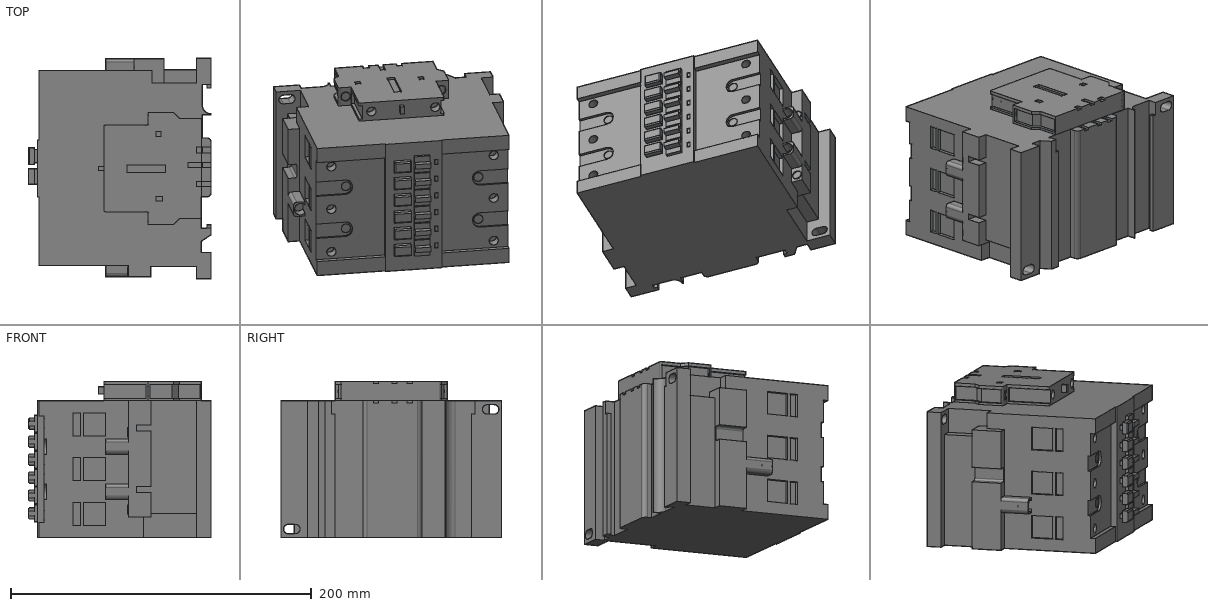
import cadquery as cq
import math


height = 91.0
mid_z = height / 2
left_wall_y = 65.2
right_wall_y = -64.6
core_half_width = 57.0
rail_x = 114.5
flange_x = 104.7
flange_half_width = 73.4

panel_half_width = 19.1
panel_x = -1.0
recess_floor_x = 3.4
ledge_height = 10.1
terminal_pitch = 30.5
terminal_y = 54.9
terminal_radius = 3.1
hole_depth = 7.3
post_pitch = 30.1
post_width = 10.3
post_levels = [mid_z - post_pitch / 2, mid_z + post_pitch / 2]
groove_depth = 1.6
groove_end_y = 45.8
groove_seat_y = 44.8
groove_seat_depth = 0.3

window_pitch = 29.8
window_height = 15.3
window_depth = 2.6
window_spans = [(22.6, 27.7), (29.7, 44.3)]

right_wall_end_x = 69.6
left_wall_end_x = 75.2
right_skirt_y = -65.3
left_skirt_y = 65.8
skirt_clearance = 16.1
right_bracket_span = (59.5, 74.5)
right_bracket_y = -72.1
right_bracket_bottom = 13.8
left_bracket_span = (63.3, 83.2)
left_bracket_y = 73.0
left_bracket_top = 80.5
bracket_notch_x = 64.7
bracket_notch_height = 3.8
bracket_notch_levels = [32.0, 73.0]
bracket_pocket_y = 67.1
bracket_pocket_span = (45.4, 55.2)
bracket_pocket_radius = 1.5
post_front_x = 44.3
post_hole_radius = 4.1
post_hole_inset = 4.8
post_corner_radius = 2.2
screw_radius = 3.1
screw_y = -68.5
screw_height = 0.6
screw_levels = [18.6, 70.0]

mount_slot_length = 10.9
mount_slot_width = 6.2
mount_slot_y = 66.0
mount_slot_edge_z = 5.7
left_back_x = 108.6
right_back_x = 108.0
flange_inner_y = 55.8
hook_top_y = 42.3
hook_arc_end_y = 36.4
hook_bottom_y = 35.7
wedge_inner_y = -39.6
wedge_tip_y = -44.0
wedge_root_y = -48.5
lip_x = 111.7
lip_reach = 2.3
lip_drop = 8.8
tab_span = (-19.0, 20.4)
tab_corner_radius = 3.0

row_count = 6
row_pitch = 11.95
button_front_x = -7.0
button_back_x = -3.1
button_span = (2.6, 14.0)
button_height = 7.6
button_chamfer = 0.9
neck_span = (3.7, 12.8)
neck_height = 3.2
strip_span = (-10.5, -0.1)
strip_segment_height = 11.3
strip_rib_height = 3.2
indicator_span = (-16.3, -14.2)
indicator_height = 3.5
indicator_depth = 0.6

block_height = 12.9
block_top = height + block_height
block_front_x = 43.2
block_step_x = 72.5
block_taper_x = (89.4, 93.5)
block_front_half_width = 28.8
block_wide_half_width = 37.3
block_back_half_width = 33.3
block_corner_radius = 1.0
panel_recess_depth = 2.2
panel_recess_bottom = 92.5
panel_recess_height = 9.2
front_recess_end_x = 71.3
rear_recess_span = (74.0, 107.2)
block_hole_radius = 3.1
block_hole_z = 97.3
block_hole_ys = [20.4, -22.8]
step_hole_y = 32.3
step_hole_depth = 0.9
plunger_x = 39.5
plunger_width = 2.6
plunger_span = (95.4, 100.4)
marking_depth = 1.5
marking_slots = [
    ((58.5, 84.3), (-2.8, 2.2)),
    ((77.8, 81.2), (21.1, 24.7)),
    ((77.8, 82.2), (-21.7, -18.5)),
]
rear_notches = [(104.7, (10.4, 14.2)), (99.2, (0.6, 3.8)), (104.7, (-11.9, -8.5))]


def box(x_span, y_span, z_span):
    """Box between two limits on each axis."""
    size = [max(s) - min(s) for s in (x_span, y_span, z_span)]
    corner = (min(x_span), min(y_span), min(z_span))
    return cq.Workplane("XY").box(*size, centered=False).translate(corner)


def rod(x_span, y, z, radius):
    """Cylinder along X."""
    length = x_span[1] - x_span[0]
    return cq.Workplane("YZ", origin=(x_span[0], y, z)).circle(radius).extrude(length)


def centred(middle, length):
    """Limits of a length centred on a coordinate."""
    return (middle - length / 2, middle + length / 2)


def base_body():
    """Full-height core with the mounting flanges and the rail hooks at its back."""
    arc_angle = math.radians(45)
    arc_x = rail_x - (rail_x - left_back_x) * math.cos(arc_angle)
    arc_y = hook_top_y - (hook_top_y - hook_arc_end_y) * math.sin(arc_angle)
    return (
        cq.Workplane("XY")
        .moveTo(0, core_half_width)
        .lineTo(flange_x, core_half_width)
        .lineTo(flange_x, flange_half_width)
        .lineTo(rail_x, flange_half_width)
        .lineTo(rail_x, flange_inner_y)
        .lineTo(left_back_x, flange_inner_y)
        .lineTo(left_back_x, hook_top_y)
        .threePointArc((arc_x, arc_y), (rail_x, hook_arc_end_y))
        .lineTo(rail_x, hook_bottom_y)
        .lineTo(left_back_x, hook_bottom_y)
        .lineTo(left_back_x, 0)
        .lineTo(right_back_x, 0)
        .lineTo(right_back_x, wedge_inner_y)
        .lineTo(rail_x, wedge_inner_y)
        .lineTo(rail_x, wedge_tip_y)
        .lineTo(right_back_x, wedge_root_y)
        .lineTo(right_back_x, -flange_inner_y)
        .lineTo(rail_x, -flange_inner_y)
        .lineTo(rail_x, -flange_half_width)
        .lineTo(flange_x, -flange_half_width)
        .lineTo(flange_x, -core_half_width)
        .lineTo(0, -core_half_width)
        .close()
        .extrude(height)
    )


def rail_details():
    """Rounded tab between the hooks, and a lip on the inner side of each rail seat."""
    tab = box((flange_x, rail_x), tab_span, (0, height))
    tab = tab.edges("|Z and >X").fillet(tab_corner_radius)
    for start_x, y_span in rear_notches:
        tab = tab.cut(box((right_back_x, rail_x), y_span, (height - marking_depth, height)))
    lip_z = (0, height - lip_drop)
    left_lip = box((lip_x, rail_x), (flange_inner_y - lip_reach, flange_inner_y), lip_z)
    right_lip = box((lip_x, rail_x), (wedge_inner_y, wedge_inner_y + lip_reach), lip_z)
    return tab.union(left_lip).union(right_lip)


def side_walls():
    """Side walls at the terminals and the lower-profile skirts behind them."""
    walls = box((0, right_wall_end_x), (right_wall_y, 0), (0, height))
    walls = walls.union(box((0, left_wall_end_x), (0, left_wall_y), (0, height)))
    right_skirt = box((right_wall_end_x, flange_x), (right_skirt_y, 0), (skirt_clearance, height))
    left_skirt = box((left_wall_end_x, flange_x), (0, left_skirt_y), (0, height - skirt_clearance))
    return walls.union(right_skirt).union(left_skirt)


def right_bracket():
    """Bracket with two notches down to the skirt and two screw heads on its front."""
    front_x, back_x = right_bracket_span
    bracket = box(right_bracket_span, (right_bracket_y, 0), (right_bracket_bottom, height))
    notch_y = (right_bracket_y, right_skirt_y)
    for z in bracket_notch_levels:
        bracket = bracket.cut(box((bracket_notch_x, back_x), notch_y, centred(z, bracket_notch_height)))
    for z in screw_levels:
        bracket = bracket.union(rod((front_x - screw_height, front_x), screw_y, z, screw_radius))
    return bracket


def left_bracket():
    """Bracket with one round-cornered notch through its outer edge."""
    bracket = box(left_bracket_span, (0, left_bracket_y), (0, left_bracket_top))
    pocket = box(left_bracket_span, (bracket_pocket_y, left_bracket_y), bracket_pocket_span)
    return bracket.cut(pocket.edges("|X and <Y").fillet(bracket_pocket_radius))


def post(back_x, inner_y, outer_y, z, outer_side):
    """Hollow post lying along a side wall, rounded along its two outer edges."""
    body = box((post_front_x, back_x), (inner_y, outer_y), centred(z, post_width))
    body = body.edges("|X and " + outer_side).fillet(post_corner_radius)
    inset = math.copysign(post_hole_inset, outer_y)
    return body.cut(rod((post_front_x, post_front_x + hole_depth), outer_y - inset, z, post_hole_radius))


def terminal_cuts(side, wall_y):
    """Cuts on one side (+1 or -1): front recess, terminal holes, grooves with round seats, and wall windows."""
    outer_y = side * flange_half_width
    cuts = box(
        (0, recess_floor_x), (side * panel_half_width, outer_y), (ledge_height, height - ledge_height)
    )
    for row in (-1, 0, 1):
        hole_z = mid_z + row * terminal_pitch
        hole_x = (recess_floor_x, recess_floor_x + hole_depth)
        cuts = cuts.union(rod(hole_x, side * terminal_y, hole_z, terminal_radius))
        window_z = centred(mid_z + row * window_pitch, window_height)
        for window_x in window_spans:
            cuts = cuts.union(box(window_x, (wall_y, wall_y - side * window_depth), window_z))
    groove_x = (recess_floor_x, recess_floor_x + groove_depth)
    for z in post_levels:
        groove = box(groove_x, (side * groove_end_y, outer_y), centred(z, post_width))
        groove = groove.union(rod(groove_x, side * groove_end_y, z, post_width / 2))
        seat_x = (groove_x[1], groove_x[1] + groove_seat_depth)
        seat = rod(seat_x, side * groove_seat_y, z, terminal_radius)
        cuts = cuts.union(groove).union(seat)
    return cuts


def mount_slot(y, z):
    """Slot through a mounting flange, long in Y."""
    return (
        cq.Workplane("YZ", origin=(flange_x, y, z))
        .slot2D(mount_slot_length, mount_slot_width)
        .extrude(rail_x - flange_x)
    )


def front_panel():
    """Raised middle panel with a column of buttons, a ribbed strip and indicator windows."""
    panel = box((panel_x, recess_floor_x), (-panel_half_width, panel_half_width), (0, height))
    first_row_z = mid_z + 0.5 + row_pitch * (row_count - 1) / 2
    for row in range(row_count):
        z = first_row_z - row * row_pitch
        button = box((button_front_x, button_back_x), button_span, centred(z, button_height))
        bevelled = button.faces("<X").edges() if row == 0 else button.faces("<X").edges("|Y")
        panel = panel.union(bevelled.chamfer(button_chamfer))
        panel = panel.union(box((button_back_x, panel_x), neck_span, centred(z, neck_height)))
        panel = panel.union(box((button_back_x, panel_x), strip_span, centred(z, strip_segment_height)))
        panel = panel.union(box((button_front_x, button_back_x), strip_span, centred(z, strip_rib_height)))
        window_x = (panel_x, panel_x + indicator_depth)
        panel = panel.cut(box(window_x, indicator_span, centred(z, indicator_height)))
    return panel


def make_housing():
    body = base_body().union(side_walls()).union(rail_details())
    body = body.union(right_bracket()).union(left_bracket())
    body = body.cut(terminal_cuts(1, left_wall_y)).cut(terminal_cuts(-1, right_wall_y))
    body = body.cut(mount_slot(mount_slot_y, height - mount_slot_edge_z))
    body = body.cut(mount_slot(-mount_slot_y, mount_slot_edge_z))
    for z in post_levels:
        body = body.union(post(right_bracket_span[0], right_wall_y, right_bracket_y, z, "<Y"))
    body = body.union(post(left_bracket_span[0], left_wall_y, left_bracket_y, post_levels[0], ">Y"))
    return body.union(front_panel())


def block_body():
    """Block that widens at a step and tapers in again towards the back."""
    taper_start_x, taper_end_x = block_taper_x
    half = [
        (block_front_x, block_front_half_width),
        (block_step_x, block_front_half_width),
        (block_step_x, block_wide_half_width),
        (taper_start_x, block_wide_half_width),
        (taper_end_x, block_back_half_width),
        (right_back_x, block_back_half_width),
    ]
    other_half = [(x, -y) for x, y in reversed(half)]
    body = cq.Workplane("XY", origin=(0, 0, height)).polyline(half + other_half).close()
    body = body.extrude(block_height)
    rounded_corners = [half[0], half[2], half[5], other_half[5]]
    for x, y in rounded_corners:
        corner = cq.selectors.NearestToPointSelector((x, y, height + block_height / 2))
        body = body.edges(corner).fillet(block_corner_radius)
    return body


def side_recesses():
    """Shallow panels in the left side: one ahead of the step, one that follows the taper."""
    z_span = (panel_recess_bottom, panel_recess_bottom + panel_recess_height)
    front_y = (block_front_half_width - panel_recess_depth, block_front_half_width)
    front = box((block_front_x, front_recess_end_x), front_y, z_span)
    start_x, end_x = rear_recess_span
    taper_shift = 0.9
    rear = (
        cq.Workplane("XY", origin=(0, 0, panel_recess_bottom))
        .moveTo(start_x, block_wide_half_width)
        .lineTo(start_x, block_wide_half_width - panel_recess_depth)
        .lineTo(block_taper_x[0] - taper_shift, block_wide_half_width - panel_recess_depth)
        .lineTo(block_taper_x[1] - taper_shift, block_back_half_width - panel_recess_depth)
        .lineTo(end_x, block_back_half_width - panel_recess_depth)
        .lineTo(end_x, block_wide_half_width)
        .close()
        .extrude(panel_recess_height)
    )
    return front.union(rear)


def make_auxiliary_block():
    body = block_body()
    recesses = side_recesses()
    body = body.cut(recesses).cut(recesses.mirror("XZ"))
    for y in block_hole_ys:
        body = body.cut(rod((block_front_x, block_front_x + hole_depth), y, block_hole_z, block_hole_radius))
    for y in (step_hole_y, -step_hole_y):
        hole_x = (block_step_x, block_step_x + step_hole_depth)
        body = body.cut(rod(hole_x, y, block_hole_z, block_hole_radius))
    marking_z = (block_top - marking_depth, block_top)
    for x_span, y_span in marking_slots:
        body = body.cut(box(x_span, y_span, marking_z))
    for start_x, y_span in rear_notches:
        body = body.cut(box((start_x, right_back_x), y_span, marking_z))
    plunger = box((plunger_x, block_front_x), centred(0, plunger_width), plunger_span)
    return body.union(plunger)


housing = make_housing()
auxiliary_block = make_auxiliary_block()
result = cq.Compound.makeCompound([housing.val(), auxiliary_block.val()])